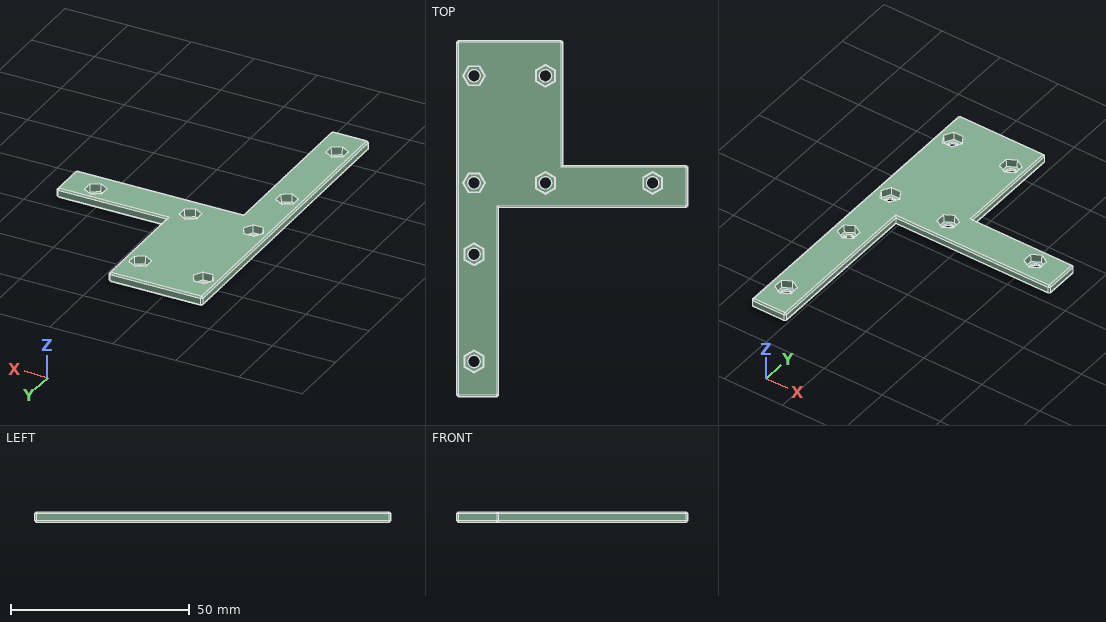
import cadquery as cq

thickness = 3.0
pitch = 10.0
clearance = 0.1
near_margin = pitch / 2 - clearance
end_margin = pitch - clearance
inner_margin = 6.9
edge_chamfer = 0.5

hole_diameter = 3.4
hexagon_sides = 6
pocket_mouth_corners = 6.35
pocket_floor_corners = 5.87
pocket_depth = 2.4

block_column = 2 * pitch
arm_column = 5 * pitch
block_row = 3 * pitch
leg_near_row = -2 * pitch
leg_far_row = -5 * pitch

fasteners = [
    (0, block_row, 0),
    (0, 0, 0),
    (block_column, block_row, 90),
    (block_column, 0, 90),
    (arm_column, 0, 90),
    (0, leg_near_row, 90),
    (0, leg_far_row, 90),
]


def make_plate():
    """Wide block with an arm to +X and a leg to -Y; only the inner corners stay sharp in plan."""
    left = -near_margin
    leg_end = leg_far_row - end_margin
    arm_end = arm_column + end_margin
    block_right = block_column + near_margin
    block_top = block_row + end_margin

    leg_inner_corner = (inner_margin, -inner_margin)
    block_inner_corner = (block_right, near_margin)
    outline = [
        (left, leg_end),
        (inner_margin, leg_end),
        leg_inner_corner,
        (arm_end, -inner_margin),
        (arm_end, near_margin),
        block_inner_corner,
        (block_right, block_top),
        (left, block_top),
    ]
    plate = cq.Workplane("XY").polyline(outline).close().extrude(thickness)
    for x, y in outline:
        if (x, y) not in (leg_inner_corner, block_inner_corner):
            corner = cq.selectors.NearestToPointSelector((x, y, thickness / 2))
            plate = plate.edges(corner).chamfer(edge_chamfer)
    return plate.faces("|Z").edges().chamfer(edge_chamfer)


def fastener_cutter(x, y, corner_angle):
    """Through hole with a tapered hexagonal nut pocket sunk from the top face."""
    hole = cq.Workplane("XY").circle(hole_diameter / 2).extrude(thickness)
    pocket = (
        cq.Workplane("XY")
        .workplane(offset=thickness - pocket_depth)
        .polygon(hexagon_sides, pocket_floor_corners)
        .workplane(offset=pocket_depth)
        .polygon(hexagon_sides, pocket_mouth_corners)
        .loft(ruled=True)
        .rotate((0, 0, 0), (0, 0, 1), corner_angle)
    )
    return hole.union(pocket).translate((x, y, 0))


result = make_plate()
for x, y, corner_angle in fasteners:
    result = result.cut(fastener_cutter(x, y, corner_angle))